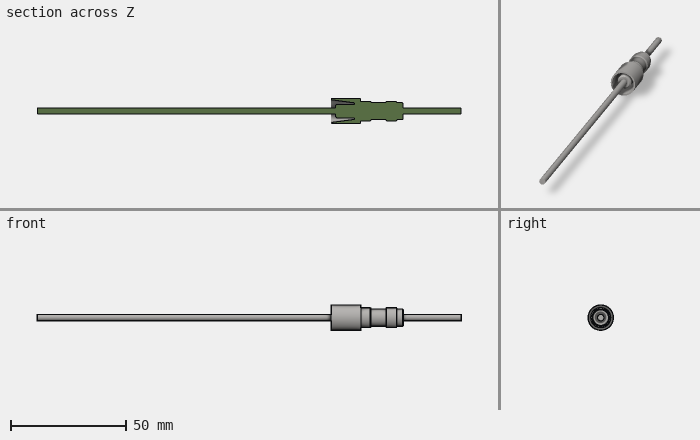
import cadquery as cq
import math

total_length = 184.15
rod_diameter = 2.8
rod_mark_diameter = 1.8
rod_mark_depth = 0.1

sleeve_start = 35.5
sleeve_length = 13.0
sleeve_diameter = 11.04
flange_length = 4.4
flange_diameter = 8.7
flange_chamfer = 0.4
neck_length = 6.35
neck_diameter = 7.5
collar_length = 4.6
collar_diameter = flange_diameter
collar_chamfer = 0.4
tail_length = 3.0
tail_diameter = 7.6
tail_chamfer = 0.4

mouth_diameter = 9.7
floor_diameter = 7.0
socket_depth = 10.0
boss_diameter = 6.1
boss_recess = 1.9
boss_chamfer = 0.55

boss_height = socket_depth - boss_recess
rod_start = -total_length / 2
flange_start = sleeve_start + sleeve_length
neck_start = flange_start + flange_length
collar_start = neck_start + neck_length
tail_start = collar_start + collar_length


def cylinder(start, length, diameter):
    """Cylinder along +X from the given station."""
    return cq.Workplane("YZ", origin=(start, 0, 0)).circle(diameter / 2).extrude(length)


def cone(start, length, start_diameter, end_diameter):
    """Truncated cone along +X from the given station."""
    base = cq.Workplane("YZ", origin=(start, 0, 0)).circle(start_diameter / 2)
    return base.workplane(offset=length).circle(end_diameter / 2).loft()


def make_body():
    sleeve = cylinder(sleeve_start, sleeve_length, sleeve_diameter)
    flange = cylinder(flange_start, flange_length, flange_diameter).faces(">X").chamfer(flange_chamfer)
    neck = cylinder(neck_start, neck_length, neck_diameter)
    collar = cylinder(collar_start, collar_length, collar_diameter).faces("<X").chamfer(collar_chamfer)
    tail = cylinder(tail_start, tail_length, tail_diameter).faces(">X").chamfer(tail_chamfer)
    return sleeve.union(flange).union(neck).union(collar).union(tail).union(make_tail_fillet())


def make_tail_fillet():
    """Ring that blends the end face of the collar into the tail."""
    tail_radius = tail_diameter / 2
    fillet_radius = (collar_diameter - tail_diameter) / 2
    fillet_end = tail_start + fillet_radius
    arc_reach = fillet_radius * (1 - math.sqrt(0.5))
    section = (
        cq.Workplane("XY")
        .moveTo(tail_start, 0)
        .lineTo(tail_start, tail_radius + fillet_radius)
        .threePointArc((tail_start + arc_reach, tail_radius + arc_reach), (fillet_end, tail_radius))
        .lineTo(fillet_end, 0)
        .close()
    )
    return section.revolve(360, (0, 0, 0), (1, 0, 0))


def make_boss():
    boss = cylinder(sleeve_start + boss_recess, boss_height, boss_diameter)
    return boss.faces("<X").chamfer(boss_chamfer)


def make_rod():
    rod = cylinder(rod_start, total_length, rod_diameter)
    return rod.cut(cylinder(rod_start, rod_mark_depth, rod_mark_diameter))


socket = cone(sleeve_start, socket_depth, mouth_diameter, floor_diameter)
result = make_body().cut(socket).union(make_boss()).union(make_rod())